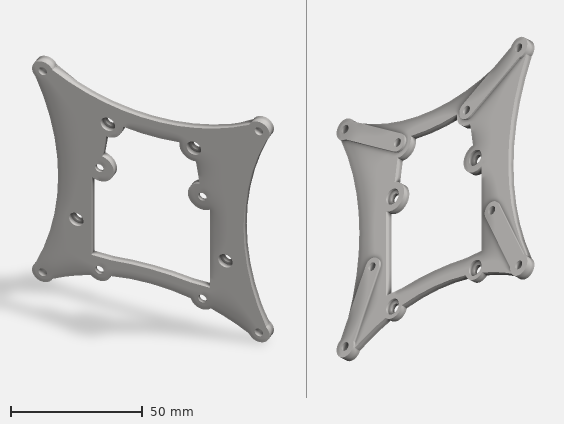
import cadquery as cq
import math

width = 99.4
height = 104.0
total_depth = 4.0
plate_depth = 2.9
hole_diameter = 3.5

ear_radius = 4.5
ear_x = width / 2 - ear_radius
ear_z = height / 2 - ear_radius

end_arc_radius = 84.7
end_arc_apex = 38.7
end_arc_half_chord = 41.4
side_arc_radius = 107.1
side_arc_apex = 38.8
side_arc_half_chord = 44.0

window_half_width = 24.8
window_floor = -32.9
window_shoulder_z = 9.1
window_top_half_width = 17.8
window_top_z = 32.2
window_waist_half_width = 21.3
floor_arc_apex = -31.8
floor_arc_half_width = 16.6
top_band = 7.6

upper_mount = (18.0, 31.0)
middle_mount = (21.5, 9.1)
lower_mount = (31.2, -18.1)
bottom_mount = (21.5, -39.0)
lobe_radius = 6.0
bottom_boss_radius = 5.0

rib_width = 7.5
counterbore_diameter = 6.0
counterbore_depth = 2.0
rear_counterbore_diameter = 6.5
rear_counterbore_depth = 1.4


def sketch_plane():
    """Front face plane; negative extrusions run toward +Y."""
    return cq.Workplane("XZ")


def both_sides(point):
    x, z = point
    return [(-x, z), (x, z)]


def discs(points, diameter, depth):
    """Discs growing from the front face toward the rear."""
    return sketch_plane().pushPoints(points).circle(diameter / 2).extrude(-depth)


def arc_offset(radius, half_chord):
    """Height of an arc above its apex at a distance from the middle."""
    return radius - math.sqrt(radius**2 - half_chord**2)


def plate():
    """Four concave arcs, joined by short chords hidden inside the ears."""
    end_z = end_arc_apex + arc_offset(end_arc_radius, end_arc_half_chord)
    side_x = side_arc_apex + arc_offset(side_arc_radius, side_arc_half_chord)
    return (
        sketch_plane()
        .moveTo(-end_arc_half_chord, end_z)
        .threePointArc((0, end_arc_apex), (end_arc_half_chord, end_z))
        .lineTo(side_x, side_arc_half_chord)
        .threePointArc((side_arc_apex, 0), (side_x, -side_arc_half_chord))
        .lineTo(end_arc_half_chord, -end_z)
        .threePointArc((0, -end_arc_apex), (-end_arc_half_chord, -end_z))
        .lineTo(-side_x, -side_arc_half_chord)
        .threePointArc((-side_arc_apex, 0), (-side_x, side_arc_half_chord))
        .close()
        .extrude(-plate_depth)
    )


def window():
    outline = (
        sketch_plane()
        .moveTo(-window_half_width, window_floor)
        .lineTo(-floor_arc_half_width, window_floor)
        .threePointArc((0, floor_arc_apex), (floor_arc_half_width, window_floor))
        .lineTo(window_half_width, window_floor)
        .lineTo(window_half_width, window_shoulder_z)
        .lineTo(window_waist_half_width, window_shoulder_z)
        .lineTo(window_top_half_width, window_top_z)
        .lineTo(-window_top_half_width, window_top_z)
        .lineTo(-window_waist_half_width, window_shoulder_z)
        .lineTo(-window_half_width, window_shoulder_z)
        .close()
        .extrude(-plate_depth)
    )
    band = discs([(0, end_arc_apex + end_arc_radius)], 2 * (end_arc_radius + top_band), plate_depth)
    return outline.cut(band)


def rib(start, end):
    """Round-ended rib running from an ear to a counterbored mount."""
    run = end[0] - start[0]
    rise = end[1] - start[1]
    length = math.hypot(run, rise)
    bar = (
        sketch_plane()
        .center((start[0] + end[0]) / 2, (start[1] + end[1]) / 2)
        .transformed(rotate=(0, 0, math.degrees(math.atan2(rise, run))))
        .slot2D(length + rib_width, rib_width)
        .extrude(-(total_depth - plate_depth))
    )
    return bar.translate((0, plate_depth, 0))


ears = both_sides((ear_x, ear_z)) + both_sides((ear_x, -ear_z))
counterbored = both_sides(upper_mount) + both_sides(lower_mount)
plain_mounts = both_sides(middle_mount) + both_sides(bottom_mount)

result = plate().cut(window())
result = result.union(discs(ears, 2 * ear_radius, total_depth))
result = result.union(discs(both_sides(upper_mount), 2 * lobe_radius, plate_depth))
result = result.union(discs(both_sides(middle_mount), 2 * lobe_radius, plate_depth))
result = result.union(discs(both_sides(bottom_mount), 2 * bottom_boss_radius, plate_depth))
for ear, mount in zip(ears, counterbored):
    result = result.union(rib(ear, mount))
result = result.cut(discs(ears + counterbored + plain_mounts, hole_diameter, total_depth))
result = result.cut(discs(counterbored, counterbore_diameter, counterbore_depth))
rear_counterbores = discs(plain_mounts, rear_counterbore_diameter, rear_counterbore_depth)
result = result.cut(rear_counterbores.translate((0, plate_depth - rear_counterbore_depth, 0)))